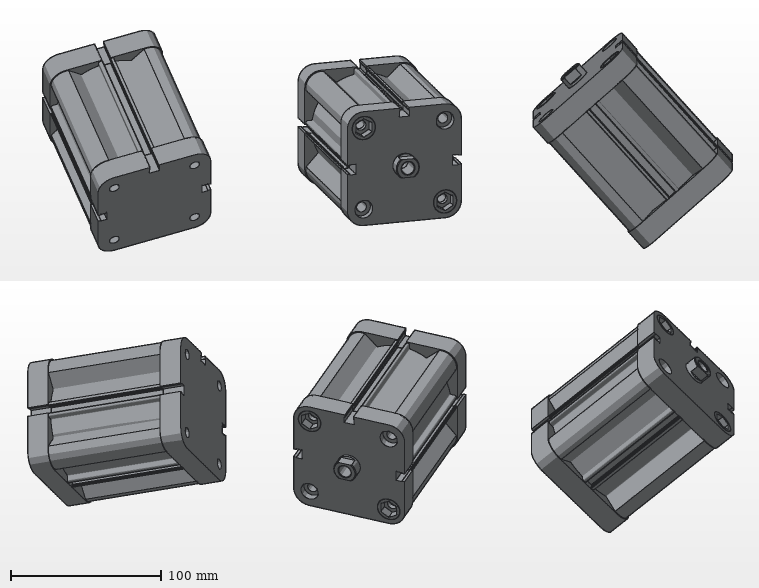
import cadquery as cq
import math

total_length = 118.0
cap_side = 79.5
front_cap_start = 8.1
front_cap_end = 22.7
rear_cap_start = 103.0
cap_half = cap_side / 2
bolt_offset = 28.3
cap_corner_radius = cap_half - bolt_offset

barrel_half = 38.9
wall_radius = 35.0
root_fillet = 0.8
root_tolerance = 0.01
flank_inner = 17.6
flank_outer = 26.7
lobe_radius = barrel_half - bolt_offset
rib_half_width = 5.4
shoulder_radius = 1.2

cap_mouth_width = 6.1
barrel_mouth_width = 5.2
cap_slot_width = 7.1
barrel_slot_width = 6.8
slot_floor_chamfer = 0.5
lip_bottom = 37.8
cap_slot_floor = 33.6
barrel_slot_floor = 34.0
mouth_chamfer = 0.5
cap_slot_angles = (0, 90, 270)

through_hole_radius = 3.4
counterbore_radius = 6.1
counterbore_depth = 5.1

screw_radius = 7.9
screw_clearance = 0.2
screw_length = 10.0
socket_flats = 11.2
socket_depth = 6.4

rod_radius = 8.0
rod_chamfer = 0.6
rod_end = front_cap_end
flat_half = 6.4
flat_length = 6.3
flat_runout = 0.4
tapped_hole_radius = 4.4
tapped_hole_chamfer = 0.5
tapped_hole_depth = 14.2
drill_point_angle = 118.0

screw_corners = [(bolt_offset, bolt_offset), (-bolt_offset, -bolt_offset)]
counterbore_corners = [(bolt_offset, -bolt_offset), (-bolt_offset, bolt_offset)]


def section(x):
    """Workplane across the axis at x, with local axes Y and Z."""
    return cq.Workplane("YZ", origin=(x, 0, 0))


def slot_cutter(start, end, mouth_width, slot_width, floor):
    """T-shaped slot on the +Z side."""
    length = end - start
    mouth_height = cap_half - floor
    inner_height = lip_bottom - floor
    mouth = section(start).center(0, floor + mouth_height / 2).rect(mouth_width, mouth_height)
    inner = section(start).center(0, floor + inner_height / 2).rect(slot_width, inner_height)
    return mouth.extrude(length).union(inner.extrude(length))


def make_cap(start, end):
    """Square end plate with rounded corners and T-slots in its sides."""
    cap = section(start).rect(cap_side, cap_side).extrude(end - start)
    cap = cap.edges("|X").fillet(cap_corner_radius)
    slot = slot_cutter(start, end, cap_mouth_width, cap_slot_width, cap_slot_floor)
    for angle in cap_slot_angles:
        cap = cap.cut(slot.rotate((0, 0, 0), (1, 0, 0), angle))
    return cap


def rotated(point, angle):
    """A (Y, Z) point turned about the axis by angle degrees."""
    cosine = math.cos(math.radians(angle))
    sine = math.sin(math.radians(angle))
    return (point[0] * cosine - point[1] * sine, point[0] * sine + point[1] * cosine)


def height_on_circle(radius, half_width):
    """Height above a circle's center of its point half_width to the side of that center."""
    return math.sqrt(radius**2 - half_width**2)


def flank_top_point():
    """Point where the right flank of the +Z side meets its lobe."""
    return (flank_outer, bolt_offset + height_on_circle(lobe_radius, bolt_offset - flank_outer))


def side_outline(outline, angle):
    """Add one side of the barrel outline, drawn for +Z and turned by angle: a flank, the tube wall,
    the slotted rib, the tube wall again and the other flank, ending with the lobe after it."""
    flank_foot = (flank_inner, height_on_circle(wall_radius, flank_inner))
    flank_top = flank_top_point()
    rib_foot = (rib_half_width, height_on_circle(wall_radius, rib_half_width))
    shoulder_bottom = (rib_half_width, barrel_half - shoulder_radius)
    shoulder_top = (rib_half_width - shoulder_radius, barrel_half)
    slot = [
        (barrel_mouth_width / 2 + mouth_chamfer, barrel_half),
        (barrel_mouth_width / 2, barrel_half - mouth_chamfer),
        (barrel_mouth_width / 2, lip_bottom),
        (barrel_slot_width / 2, lip_bottom),
        (barrel_slot_width / 2, barrel_slot_floor + slot_floor_chamfer),
        (barrel_slot_width / 2 - slot_floor_chamfer, barrel_slot_floor),
    ]

    def left(point):
        return rotated((-point[0], point[1]), angle)

    def right(point):
        return rotated(point, angle)

    outline = outline.lineTo(*left(flank_foot)).radiusArc(left(rib_foot), wall_radius)
    outline = outline.lineTo(*left(shoulder_bottom)).radiusArc(left(shoulder_top), shoulder_radius)
    for point in slot:
        outline = outline.lineTo(*left(point))
    for point in reversed(slot):
        outline = outline.lineTo(*right(point))
    outline = outline.lineTo(*right(shoulder_top)).radiusArc(right(shoulder_bottom), shoulder_radius)
    outline = outline.lineTo(*right(rib_foot)).radiusArc(right(flank_foot), wall_radius)
    outline = outline.lineTo(*right(flank_top))
    next_flank_top = rotated((-flank_top[0], flank_top[1]), angle - 90)
    lobe_middle = bolt_offset + lobe_radius / math.sqrt(2)
    return outline.threePointArc(right((lobe_middle, lobe_middle)), next_flank_top)


def make_barrel():
    """Extruded barrel between the end plates."""
    flank_top = flank_top_point()
    outline = section(front_cap_end).moveTo(-flank_top[0], flank_top[1])
    for angle in (0, -90, -180, -270):
        outline = side_outline(outline, angle)
    barrel = outline.close().extrude(rear_cap_start - front_cap_end)
    roots = barrel.edges("|X").filter(
        lambda edge: abs(math.hypot(edge.Center().y, edge.Center().z) - wall_radius) < root_tolerance
    )
    return roots.fillet(root_fillet)


def make_housing():
    """Barrel and both end plates in one piece, with the corner holes, screw seats and rod hole."""
    housing = make_barrel()
    housing = housing.union(make_cap(front_cap_start, front_cap_end))
    housing = housing.union(make_cap(rear_cap_start, total_length))
    front = section(front_cap_start)
    through = front.pushPoints(screw_corners + counterbore_corners).circle(through_hole_radius)
    housing = housing.cut(through.extrude(total_length))
    counterbores = front.pushPoints(counterbore_corners).circle(counterbore_radius)
    housing = housing.cut(counterbores.extrude(counterbore_depth))
    screw_seats = front.pushPoints(screw_corners).circle(screw_radius + screw_clearance)
    housing = housing.cut(screw_seats.extrude(screw_length))
    return housing.cut(front.circle(rod_radius).extrude(rod_end - front_cap_start))


def make_rod():
    """Piston rod with two wrench flats and a tapped hole in its tip."""
    rod = section(0).circle(rod_radius).extrude(rod_end).faces("<X").chamfer(rod_chamfer)
    for side in (1, -1):
        flat = cq.Workplane("XZ").polyline([
            (0, side * flat_half),
            (flat_length, side * flat_half),
            (flat_length + flat_runout, side * rod_radius),
            (0, side * rod_radius),
        ]).close()
        rod = rod.cut(flat.extrude(rod_radius, both=True))
    point_depth = tapped_hole_radius / math.tan(math.radians(drill_point_angle / 2))
    hole = (
        cq.Workplane("XY")
        .lineTo(0, tapped_hole_radius + tapped_hole_chamfer)
        .lineTo(tapped_hole_chamfer, tapped_hole_radius)
        .lineTo(tapped_hole_depth, tapped_hole_radius)
        .lineTo(tapped_hole_depth + point_depth, 0)
        .close()
        .revolve(360, (0, 0, 0), (1, 0, 0))
    )
    return rod.cut(hole)


def make_screw(y, z):
    """Hollow screw: a plug with a hexagon socket and a through hole."""
    place = section(front_cap_start).center(y, z)
    screw = place.circle(screw_radius).extrude(screw_length)
    across_corners = socket_flats / math.cos(math.pi / 6)
    socket = place.transformed(rotate=(0, 0, 90)).polygon(6, across_corners).extrude(socket_depth)
    return screw.cut(socket).cut(place.circle(through_hole_radius).extrude(screw_length))


housing = make_housing()
rod = make_rod()
screws = [make_screw(y, z).val() for y, z in screw_corners]
result = cq.Compound.makeCompound([housing.val(), rod.val(), *screws])